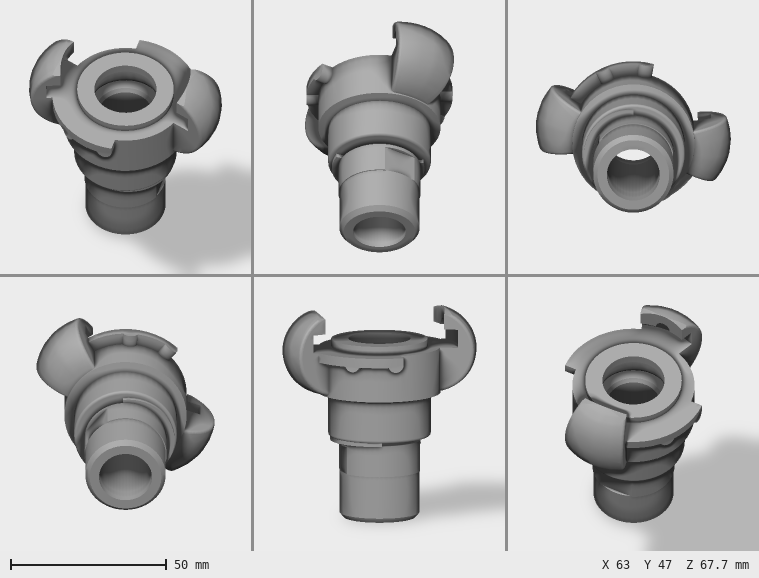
import cadquery as cq
import math

SPIGOT_TOP = 15.15
FLATS_TOP = 24.0
COLLAR_TOP = 25.2
HOUSING_BOTTOM = 26.6
CONE_BOTTOM = 39.8
CONE_TOP = 40.7
NIPPLE_TOP = 47.65
FLANGE_BOTTOM = 52.55
THROAT_BOTTOM = 55.2
HEAD_TOP = 55.6
FACE_TOP = 58.1
LIP_BOTTOM = 61.5
CLAW_TOP = 67.7

SPIGOT_DIAMETER = 25.8
SPIGOT_END_DIAMETER = 23.0
SPIGOT_CHAMFER_HEIGHT = 1.55
COLLAR_DIAMETER = 26.5
FLAT_DISTANCE = 23.95
STEM_DIAMETER = 25.5
RING_GROOVE_DIAMETER = 23.0
NIPPLE_BORE_DIAMETER = 17.0
BORE_MOUTH_DIAMETER = 19.0

RING_DIAMETER = 29.8
RING_THICKNESS = 1.3
RING_OFFSET_X = 1.0
RING_OFFSET_Y = -0.15
RING_GAP_START = 80.0
RING_GAP_END = 228.0

SLEEVE_DIAMETER = 33.0
SLEEVE_EDGE_RADIUS = 0.9
HEAD_RADIUS = 19.6
FACE_DIAMETER = 31.0
THROAT_DIAMETER = 20.0

FLANGE_RADIUS = 23.5
DETENT_RADIUS = 2.5
DETENT_DROP = 1.6
DETENT_AXIS_Z = FLANGE_BOTTOM - DETENT_DROP + DETENT_RADIUS
DETENT_INNER_RADIUS = 17.6
DETENT_ANGLES = (-90.0, -125.0)

CLAW_REACH = 31.5
CLAW_PROFILE_RADIUS = 13.55
CLAW_MID_Z = 54.5
CLAW_CROSS_RADIUS = 19.6
CLAW_SIDE_ANGLE = 19.0
CLAW_AXIS_HALF_WIDTH = 0.75
CLAW_INNER_X = 14.9
CLAW_EDGE_RADIUS = 0.9
LIP_RADIUS = 20.9
NOTCH_RADIUS = 25.4
TIP_CROWN_RADIUS = 21.0

SIDE_SLOPE = math.tan(math.radians(CLAW_SIDE_ANGLE))


def cylinder(radius, bottom, top):
    return cq.Workplane("XY").workplane(offset=bottom).circle(radius).extrude(top - bottom)


def both_sides(shape):
    """The shape together with its copy half a turn around Z."""
    return shape, shape.rotate((0, 0, 0), (0, 0, 1), 180)


def make_nipple():
    bore = NIPPLE_BORE_DIAMETER / 2
    mouth = BORE_MOUTH_DIAMETER / 2
    groove = RING_GROOVE_DIAMETER / 2
    stem = STEM_DIAMETER / 2
    collar = COLLAR_DIAMETER / 2
    spigot = SPIGOT_DIAMETER / 2
    profile = [
        (bore, 0),
        (SPIGOT_END_DIAMETER / 2, 0),
        (spigot, SPIGOT_CHAMFER_HEIGHT),
        (spigot, SPIGOT_TOP),
        (collar, SPIGOT_TOP),
        (collar, COLLAR_TOP),
        (groove, COLLAR_TOP),
        (groove, HOUSING_BOTTOM),
        (stem, HOUSING_BOTTOM),
        (stem, NIPPLE_TOP),
        (mouth, NIPPLE_TOP),
        (bore, NIPPLE_TOP - (mouth - bore)),
    ]
    nipple = cq.Workplane("XZ").polyline(profile).close().revolve(360, (0, 0), (0, 1))

    between_flats = cq.Workplane("XY").workplane(offset=SPIGOT_TOP).rect(FLAT_DISTANCE, COLLAR_DIAMETER)
    flats = cylinder(COLLAR_DIAMETER, SPIGOT_TOP, FLATS_TOP).cut(between_flats.extrude(FLATS_TOP - SPIGOT_TOP))
    return nipple.cut(flats)


def make_retaining_ring():
    bottom = HOUSING_BOTTOM - RING_THICKNESS
    disc = cylinder(RING_DIAMETER / 2, bottom, HOUSING_BOTTOM).translate((RING_OFFSET_X, RING_OFFSET_Y, 0))
    ring = disc.cut(cylinder(RING_GROOVE_DIAMETER / 2, bottom, HOUSING_BOTTOM))

    gap_middle = (RING_GAP_START + RING_GAP_END) / 2
    reach = RING_DIAMETER * 2
    gap_points = [(0, 0)]
    for angle in (RING_GAP_START, gap_middle, RING_GAP_END):
        gap_points.append((reach * math.cos(math.radians(angle)), reach * math.sin(math.radians(angle))))
    gap = cq.Workplane("XY").workplane(offset=bottom).polyline(gap_points).close().extrude(RING_THICKNESS)
    return ring.cut(gap)


def make_head():
    """Turned outside of the housing."""
    sleeve = SLEEVE_DIAMETER / 2
    face = FACE_DIAMETER / 2
    profile = [
        (0, HOUSING_BOTTOM),
        (sleeve, HOUSING_BOTTOM),
        (sleeve, CONE_BOTTOM),
        (HEAD_RADIUS, CONE_TOP),
        (HEAD_RADIUS, HEAD_TOP),
        (face, HEAD_TOP),
        (face, FACE_TOP),
        (0, FACE_TOP),
    ]
    head = cq.Workplane("XZ").polyline(profile).close().revolve(360, (0, 0), (0, 1))
    return head.faces("<Z").edges().fillet(SLEEVE_EDGE_RADIUS)


def make_cavity():
    """Stem bore, then a wall curving in to the vertical throat."""
    stem = STEM_DIAMETER / 2
    throat = THROAT_DIAMETER / 2
    rise = THROAT_BOTTOM - NIPPLE_TOP
    inset = stem - throat
    wall_radius = (rise ** 2 + inset ** 2) / (2 * inset)
    half_angle = math.asin(rise / wall_radius) / 2
    wall_middle = (
        throat + wall_radius * (1 - math.cos(half_angle)),
        THROAT_BOTTOM - wall_radius * math.sin(half_angle),
    )
    outline = (
        cq.Workplane("XZ")
        .moveTo(0, HOUSING_BOTTOM)
        .lineTo(stem, HOUSING_BOTTOM)
        .lineTo(stem, NIPPLE_TOP)
        .threePointArc(wall_middle, (throat, THROAT_BOTTOM))
        .lineTo(throat, FACE_TOP)
        .lineTo(0, FACE_TOP)
        .close()
    )
    return outline.revolve(360, (0, 0), (0, 1))


def make_flange_segment():
    """Flange from the -Y detent round to the side of the -X claw."""
    corner = FLANGE_RADIUS * 2
    claw_side_y = -(CLAW_AXIS_HALF_WIDTH + corner * SIDE_SLOPE)
    sector = [
        (0, 0),
        (-corner, claw_side_y),
        (-corner, -corner),
        (DETENT_RADIUS, -corner),
        (DETENT_RADIUS, 0),
    ]
    window = cq.Workplane("XY").workplane(offset=FLANGE_BOTTOM).polyline(sector).close()
    segment = cylinder(FLANGE_RADIUS, FLANGE_BOTTOM, HEAD_TOP).intersect(
        window.extrude(HEAD_TOP - FLANGE_BOTTOM)
    )
    under_end = (
        cq.Workplane("XY")
        .workplane(offset=FLANGE_BOTTOM)
        .rect(DETENT_RADIUS, -corner, centered=False)
        .extrude(DETENT_AXIS_Z - FLANGE_BOTTOM)
    )
    segment = segment.cut(under_end)
    detent = (
        cq.Workplane("YZ")
        .workplane(offset=DETENT_INNER_RADIUS)
        .center(0, DETENT_AXIS_Z)
        .circle(DETENT_RADIUS)
        .extrude(FLANGE_RADIUS)
        .intersect(cylinder(FLANGE_RADIUS, DETENT_AXIS_Z - DETENT_RADIUS, HEAD_TOP))
    )
    for angle in DETENT_ANGLES:
        segment = segment.union(detent.rotate((0, 0, 0), (0, 0, 1), angle))
    return segment.clean()


def make_claw():
    """Claw on the +X side: a doubly curved block, notched to leave a lip."""
    axis_x = CLAW_REACH - CLAW_CROSS_RADIUS
    arc_centre_x = CLAW_REACH - CLAW_PROFILE_RADIUS
    half_height = math.sqrt(CLAW_PROFILE_RADIUS ** 2 - (arc_centre_x - axis_x) ** 2)
    barrel = (
        cq.Workplane("XZ")
        .moveTo(axis_x, CLAW_MID_Z - half_height)
        .threePointArc((CLAW_REACH, CLAW_MID_Z), (axis_x, CLAW_MID_Z + half_height))
        .close()
        .revolve(360, (axis_x, 0), (axis_x, 1))
    )

    outer_x = CLAW_REACH + CLAW_PROFILE_RADIUS
    inner_y = CLAW_AXIS_HALF_WIDTH + CLAW_INNER_X * SIDE_SLOPE
    outer_y = CLAW_AXIS_HALF_WIDTH + outer_x * SIDE_SLOPE
    plan = [(CLAW_INNER_X, -inner_y), (outer_x, -outer_y), (outer_x, outer_y), (CLAW_INNER_X, inner_y)]
    wedge = cq.Workplane("XY").polyline(plan).close().extrude(CLAW_MID_Z + CLAW_PROFILE_RADIUS)
    claw = barrel.intersect(wedge)
    claw = claw.faces("<Y or >Y").edges("not |Z").fillet(CLAW_EDGE_RADIUS)

    crown = (
        cq.Workplane("YZ")
        .center(0, CLAW_TOP - TIP_CROWN_RADIUS)
        .circle(TIP_CROWN_RADIUS)
        .extrude(outer_x)
    )
    claw = claw.intersect(crown)

    claw = claw.cut(cylinder(LIP_RADIUS, LIP_BOTTOM, CLAW_TOP))
    claw = claw.cut(cylinder(NOTCH_RADIUS, HEAD_TOP, LIP_BOTTOM))

    seat = cq.Workplane("YZ").center(0, LIP_BOTTOM).circle(DETENT_RADIUS).extrude(outer_x)
    return claw.cut(seat.intersect(cylinder(NOTCH_RADIUS, HEAD_TOP, CLAW_TOP)))


def make_housing():
    housing = make_head()
    for shape in both_sides(make_flange_segment()) + both_sides(make_claw()):
        housing = housing.union(shape)
    return housing.cut(make_cavity())


nipple = make_nipple()
retaining_ring = make_retaining_ring()
housing = make_housing()

result = cq.Compound.makeCompound([nipple.val(), retaining_ring.val(), housing.val()])